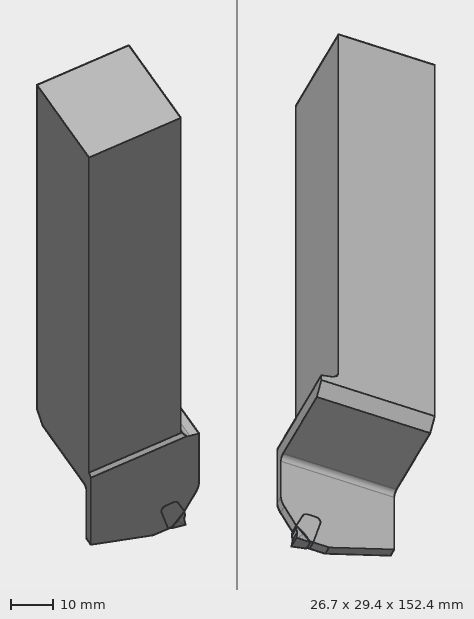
import cadquery as cq

total_height = 152.4
shank_depth = 25.0
shank_right = 25.5
head_right = 26.4
step_bottom = 32.8
step_top = step_bottom + head_right - shank_right
head_bottom = 27.0
chamfer_width = 2.7
chamfer_height = 3.2
blade_thickness = 2.3
blade_left = head_right - blade_thickness
blade_root_radius = 1.4

head_depth = 29.4
ledge_back = 31.9
ledge_front = 32.9
ledge_radius = 2.5
nose_start = (head_depth, 11.7)
nose_radius = 6.1
seat_back = (25.5, 4.9)
seat_front = (21.0, 0.9)
widening_front = (22.0, 0.9)
underside_front = (16.9, 0.9)
blade_front_height = 7.5

seat_top_back = (23.3, 10.0)
seat_top_front = (18.7, 10.0)
seat_corner_radius = 1.4
cutting_width = 3.2
cutting_right = 26.7
cutting_left = cutting_right - cutting_width
rake_top = (25.6, 3.5)
rake_hollow = (25.3, 2.3)
cutting_tip = (25.6, 0.0)
cutting_heel = (21.8, 0.6)


def prism_along_x(points, x_start, length):
    """Extrude a closed YZ outline along X."""
    return cq.Workplane("YZ", origin=(x_start, 0, 0)).polyline(points).close().extrude(length)


def make_front_outline():
    """Full-depth prism with the shank, corner chamfer and thin blade."""
    outline = (
        cq.Workplane("XZ")
        .moveTo(0, total_height)
        .lineTo(shank_right, total_height)
        .lineTo(shank_right, step_top)
        .lineTo(head_right, step_bottom)
        .lineTo(head_right, 0)
        .lineTo(blade_left, 0)
        .lineTo(blade_left, head_bottom)
        .lineTo(chamfer_width, head_bottom)
        .lineTo(0, head_bottom + chamfer_height)
        .close()
        .extrude(-head_depth)
    )
    root_edge = cq.selectors.NearestToPointSelector((blade_left, head_depth / 2, head_bottom))
    return outline.edges(root_edge).fillet(blade_root_radius)


def make_side_outline():
    """Full-width prism with the ledge, rounded nose and sloping underside."""
    outline = prism_along_x(
        [
            (0, total_height),
            (shank_depth, total_height),
            (shank_depth, ledge_front),
            (head_depth, ledge_back),
            nose_start,
            seat_back,
            seat_front,
            underside_front,
            (0, blade_front_height),
        ],
        0,
        head_right,
    )
    ledge_edge = cq.selectors.NearestToPointSelector((head_right / 2, shank_depth, ledge_front))
    nose_edge = cq.selectors.NearestToPointSelector((head_right / 2, *nose_start))
    return outline.edges(ledge_edge).fillet(ledge_radius).edges(nose_edge).fillet(nose_radius)


def make_insert_root():
    """Insert shank, as thick as the blade, with a rounded inner end."""
    root = prism_along_x(
        [seat_back, seat_top_back, seat_top_front, seat_front, widening_front],
        blade_left,
        blade_thickness,
    )
    return root.faces(">Z").edges("|X").fillet(seat_corner_radius)


def make_width_taper(plane, narrow_at, wide_at, length):
    """Trapezoid prism widening from the blade thickness to the cutting width."""
    return (
        cq.Workplane(plane)
        .polyline(
            [
                (blade_left, narrow_at),
                (head_right, narrow_at),
                (cutting_right, wide_at),
                (cutting_left, wide_at),
            ]
        )
        .close()
        .extrude(length)
    )


def make_cutting_head():
    """Cutting end, widest at its tip and relieved upward and toward -Y."""
    profile = prism_along_x(
        [seat_back, rake_top, rake_hollow, cutting_tip, cutting_heel, widening_front],
        cutting_left,
        cutting_width,
    )
    height_taper = make_width_taper("XZ", seat_back[1], cutting_tip[1], -head_depth)
    depth_taper = make_width_taper("XY", cutting_heel[0], rake_top[0], seat_back[1])
    return profile.intersect(height_taper).intersect(depth_taper)


insert_root = make_insert_root()
insert = insert_root.union(make_cutting_head())
holder = make_front_outline().intersect(make_side_outline()).cut(insert_root)

result = cq.Compound.makeCompound([holder.val(), insert.val()])